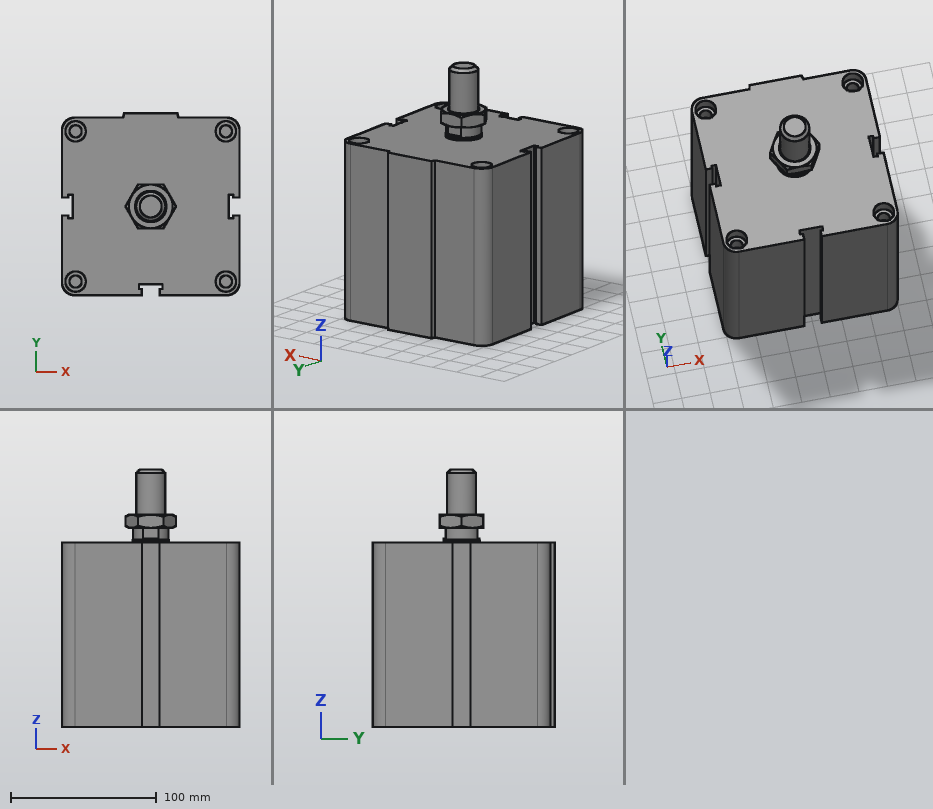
import cadquery as cq
import math

HOUSING_WIDTH = 122.0
HOUSING_HEIGHT = 126.5
CORNER_RADIUS = 9.0

STRIP_HEIGHT = 3.0
STRIP_BASE_WIDTH = 38.0
STRIP_TOP_WIDTH = 36.5

SLOT_MOUTH_WIDTH = 12.2
SLOT_INNER_WIDTH = 16.0
SLOT_LIP = 4.5
SLOT_DEPTH = 7.5
SLOT_ANGLES = (-90, 0, 90)

HOLE_SPACING = 103.0
HOLE_DIAMETER = 8.38
HOLE_DEPTH = 19.5
COUNTERBORE_DIAMETER = 14.0
COUNTERBORE_DEPTH = 9.0

ROD_LENGTH = 50.0
COLLAR_DIAMETER = 25.0
NECK_DIAMETER = 24.5
COLLAR_HEIGHT = 2.0
COLLAR_TAPER_HEIGHT = 0.5
SHOULDER_HEIGHT = 10.0
FLATS_WIDTH = 22.0
FLATS_START = 2.8
THREAD_DIAMETER = 20.0
TIP_CHAMFER = 2.5

NUT_SIDES = 6
NUT_WIDTH = 30.0
NUT_HEIGHT = 9.0
NUT_CHAMFER_ANGLE = 30.0
NUT_COUNTERSINK_DIAMETER = 21.5
NUT_COUNTERSINK_ANGLE = 90.0


def make_t_slot(angle):
    """T-slot cutter for the front face, turned about Z to reach another face."""
    inner_y = -HOUSING_WIDTH / 2 + SLOT_DEPTH
    undercut = SLOT_DEPTH - SLOT_LIP
    neck = (
        cq.Workplane("XY")
        .center(0, inner_y - SLOT_DEPTH / 2)
        .rect(SLOT_MOUTH_WIDTH, SLOT_DEPTH)
        .extrude(HOUSING_HEIGHT)
    )
    head = (
        cq.Workplane("XY")
        .center(0, inner_y - undercut / 2)
        .rect(SLOT_INNER_WIDTH, undercut)
        .extrude(HOUSING_HEIGHT)
    )
    return neck.union(head).rotate((0, 0, 0), (0, 0, 1), angle)


def make_strip():
    """Full-height strip with slightly sloping sides on the back face."""
    base_y = HOUSING_WIDTH / 2
    top_y = base_y + STRIP_HEIGHT
    return (
        cq.Workplane("XY")
        .moveTo(-STRIP_BASE_WIDTH / 2, base_y)
        .lineTo(STRIP_BASE_WIDTH / 2, base_y)
        .lineTo(STRIP_TOP_WIDTH / 2, top_y)
        .lineTo(-STRIP_TOP_WIDTH / 2, top_y)
        .close()
        .extrude(HOUSING_HEIGHT)
    )


def make_housing():
    block = (
        cq.Workplane("XY")
        .rect(HOUSING_WIDTH, HOUSING_WIDTH)
        .extrude(HOUSING_HEIGHT)
        .edges("|Z")
        .fillet(CORNER_RADIUS)
        .union(make_strip())
    )
    for angle in SLOT_ANGLES:
        block = block.cut(make_t_slot(angle))
    return (
        block.faces(">Z")
        .workplane(origin=(0, 0, HOUSING_HEIGHT))
        .rect(HOLE_SPACING, HOLE_SPACING, forConstruction=True)
        .vertices()
        .cboreHole(HOLE_DIAMETER, COUNTERBORE_DIAMETER, COUNTERBORE_DEPTH, HOLE_DEPTH)
    )


def make_rod():
    """Turned rod with a collar, a neck with two wrench flats and a threaded end."""
    collar_radius = COLLAR_DIAMETER / 2
    neck_radius = NECK_DIAMETER / 2
    thread_radius = THREAD_DIAMETER / 2
    rod = (
        cq.Workplane("XZ")
        .moveTo(0, 0)
        .lineTo(collar_radius, 0)
        .lineTo(collar_radius, COLLAR_HEIGHT - COLLAR_TAPER_HEIGHT)
        .lineTo(neck_radius, COLLAR_HEIGHT)
        .lineTo(neck_radius, SHOULDER_HEIGHT)
        .lineTo(thread_radius, SHOULDER_HEIGHT)
        .lineTo(thread_radius, ROD_LENGTH - TIP_CHAMFER)
        .lineTo(thread_radius - TIP_CHAMFER, ROD_LENGTH)
        .lineTo(0, ROD_LENGTH)
        .close()
        .revolve(360, (0, 0, 0), (0, 1, 0))
    )
    flats_height = SHOULDER_HEIGHT - FLATS_START
    for side in (-1, 1):
        flat_cutter = cq.Workplane("XY").box(
            COLLAR_DIAMETER, COLLAR_DIAMETER, flats_height, centered=(True, True, False)
        )
        offset = side * (FLATS_WIDTH + COLLAR_DIAMETER) / 2
        rod = rod.cut(flat_cutter.translate((0, offset, FLATS_START)))
    return rod.translate((0, 0, HOUSING_HEIGHT))


def make_nut():
    """Hexagon nut, corners chamfered at both ends, bore countersunk on top."""
    corner_radius = NUT_WIDTH / 2 / math.cos(math.pi / NUT_SIDES)
    flat_radius = NUT_WIDTH / 2
    chamfer_height = (corner_radius - flat_radius) * math.tan(math.radians(NUT_CHAMFER_ANGLE))
    hexagon = cq.Workplane("XY").polygon(NUT_SIDES, 2 * corner_radius).extrude(NUT_HEIGHT)
    chamfered_envelope = (
        cq.Workplane("XZ")
        .moveTo(0, 0)
        .lineTo(flat_radius, 0)
        .lineTo(corner_radius, chamfer_height)
        .lineTo(corner_radius, NUT_HEIGHT - chamfer_height)
        .lineTo(flat_radius, NUT_HEIGHT)
        .lineTo(0, NUT_HEIGHT)
        .close()
        .revolve(360, (0, 0, 0), (0, 1, 0))
    )
    nut = (
        hexagon.intersect(chamfered_envelope)
        .faces(">Z")
        .workplane(origin=(0, 0, NUT_HEIGHT))
        .cskHole(THREAD_DIAMETER, NUT_COUNTERSINK_DIAMETER, NUT_COUNTERSINK_ANGLE)
    )
    return nut.translate((0, 0, HOUSING_HEIGHT + SHOULDER_HEIGHT))


housing = make_housing()
rod = make_rod()
nut = make_nut()

result = cq.Compound.makeCompound([housing.val(), rod.val(), nut.val()])